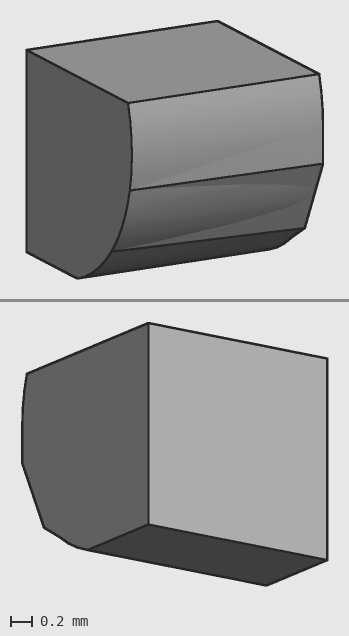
import cadquery as cq
import math

width = 2.05
depth = 2.0
height = 1.94

radius = 1.538
axis_z = 1.462
axis_x = width - radius

lower_corner = (1.695, 0.39)
upper_corner = (width, 1.099)
facet_start_x = 1.435


def arc_height_below_axis(x):
    """Height of the lower half of the arc at position x."""
    return axis_z - math.sqrt(radius**2 - (x - axis_x) ** 2)


def project_to_arc(point):
    """Move a point along its radius onto the arc."""
    dx = point[0] - axis_x
    dz = point[1] - axis_z
    scale = radius / math.hypot(dx, dz)
    return (axis_x + scale * dx, axis_z + scale * dz)


arc_top = (axis_x + math.sqrt(radius**2 - (height - axis_z) ** 2), height)
arc_bottom = (axis_x + math.sqrt(radius**2 - axis_z**2), 0)
arc_tangent = (width, axis_z)
facet_start = (facet_start_x, arc_height_below_axis(facet_start_x))


def faceted_outline(lower, upper):
    """Straight-sided outline with the two given corners on its rounded side."""
    return [(0, 0), arc_bottom, facet_start, lower, upper, arc_tangent, arc_top, (0, height)]


block = (
    cq.Workplane("XZ")
    .lineTo(*arc_bottom)
    .threePointArc(arc_tangent, arc_top)
    .lineTo(0, height)
    .close()
    .extrude(depth)
)

back_outline = faceted_outline(lower_corner, upper_corner)
front_outline = faceted_outline(project_to_arc(lower_corner), project_to_arc(upper_corner))
facets = (
    cq.Workplane("XZ")
    .polyline(back_outline)
    .close()
    .workplane(offset=depth)
    .polyline(front_outline)
    .close()
    .loft(ruled=True)
)

result = block.union(facets)